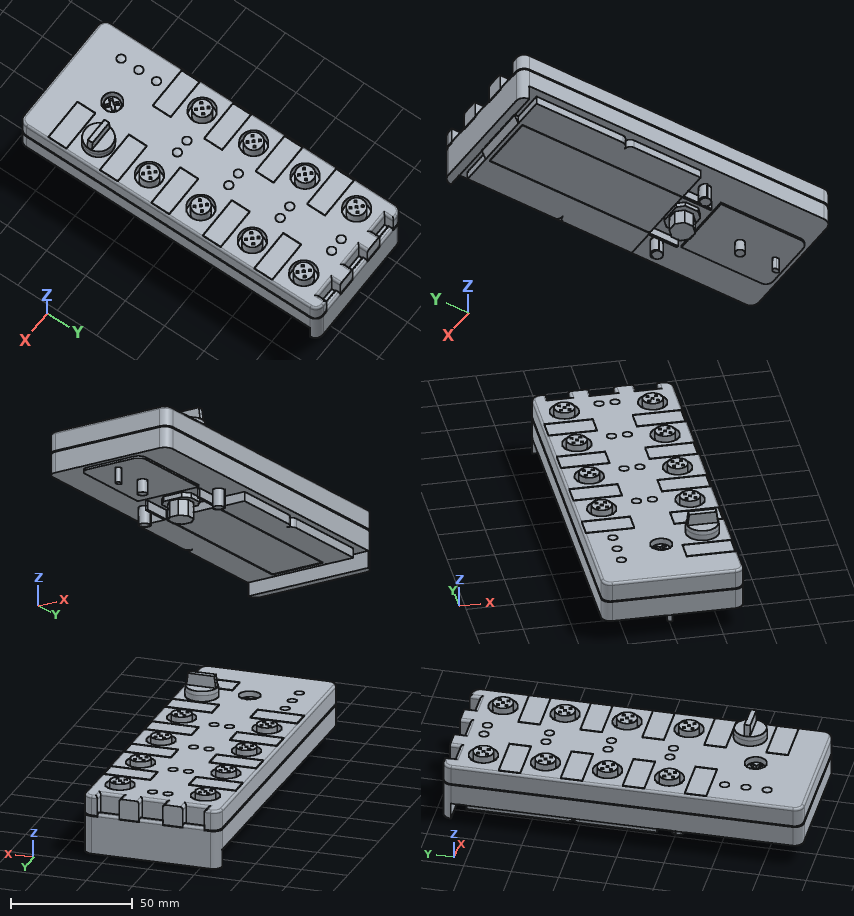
import cadquery as cq
import math

LENGTH = 152.0
WIDTH = 59.6
HEIGHT = 18.4
CORNER_RADIUS = 4.0
RIM_RADIUS = 1.0
SEAM_Z = 9.5
SEAM_HEIGHT = 0.5
SEAM_DEPTH = 0.2
BACK_Y = LENGTH / 2
BACK_WALL_DEPTH = 7.5
BACK_WALL_THICKNESS = CORNER_RADIUS

NOTCH_LENGTH = 5.6
NOTCH_DEPTH = 9.0
NOTCH_EDGE_RADIUS = 1.2
EDGE_PICK_MARGIN = 0.2
NOTCHES = ((-18.5, 11.9), (0, 12.8), (18.5, 11.9))
LIP_WIDTH = 2.5
LIP_HEIGHT = 1.0

COLUMN_X = 18.5
ROW_PITCH = 26.1
FIRST_ROW_Y = 60.8
ROWS = 4
SOCKET_RADIUS = 6.1
SOCKET_DEPTH = 4.9
PLUG_RADIUS = 4.3
PLUG_TOP_Z = 20.2
CONTACT_RADIUS = 0.53
CONTACT_OFFSET = 1.8
CONTACT_DEPTH = 3.0

LABEL_WIDTH = 9.1
LABEL_INNER_X = 8.4
LABEL_HEIGHT = 0.3
LABEL_DROP = 13.2

LIGHT_RADIUS = 2.0
LIGHT_HEIGHT = 0.5
LIGHT_PAIR_X = 3.3
LIGHT_RISE = 3.2
STATUS_LIGHT_Y = -49.9
STATUS_LIGHT_PITCH = 9.0

KNOB_Y = -43.5
KNOB_RADIUS = 7.0
KNOB_BASE_Z = 21.1
KNOB_SHOULDER_RADIUS = 6.7
KNOB_SHOULDER_Z = 22.8
GRIP_TOP_Z = 28.0
GRIP_LENGTH_BOTTOM = 13.0
GRIP_LENGTH_TOP = 11.7
GRIP_THICKNESS = 2.5

SCREW_Y = -49.9
SCREW_HOLE_RADIUS = 4.5
SCREW_HOLE_DEPTH = 6.1
SCREW_HEAD_RADIUS = 3.6
SCREW_HEAD_HEIGHT = 4.0
CROSS_LENGTH = 5.5
CROSS_WIDTH = 1.5
CROSS_ANGLE = -40.0
CROSS_DEPTH = 1.8

RAIL_DEPTH = 4.1
RAIL_REAR_Y = 66.3
RAIL_SPLIT_Y = 21.5
RAIL_FRONT_Y = -14.0
RAIL_OUTER_X = 26.3
RAIL_CORNER_RADIUS = 2.7
CHANNEL_OUTER_X = 13.4
CHANNEL_INNER_X = 12.5
CHANNEL_FRONT_Y = -27.8
WEB_DEPTH = 3.8
WEDGE_LENGTH = 2.0

FOOT_Y = -21.9
FOOT_SIDES = 8
FOOT_WIDTH = 10.0
FOOT_DEPTH = 9.3
FOOT_BASE_WIDTH = 14.6
FOOT_BASE_LENGTH = 11.9
FOOT_BASE_CHAMFER = 2.7
FOOT_BASE_DEPTH = 2.1

PEG_X = 18.4
PEG_Y = -21.5
PEG_RADIUS = 2.5
PEG_DEPTH = 7.8
PEG_BACK_RADIUS = 2.9
PEG_BACK_DEPTH = 7.5
PEG_BACK_OFFSET = 0.8

PLATE_WIDTH = 30.1
PLATE_REAR_Y = -31.2
PLATE_FRONT_Y = -73.7
PLATE_DEPTH = 0.9
PLATE_CORNER_RADIUS = 3.6
ROUND_PIN_Y = -50.2
ROUND_PIN_RADIUS = 2.1
ROUND_PIN_DEPTH = 6.7
OVAL_PIN_Y = -67.6
OVAL_PIN_LENGTH = 3.0
OVAL_PIN_WIDTH = 2.1
OVAL_PIN_DEPTH = 7.5

OVERLAP = 0.8
SIDES = (-1, 1)
ROW_YS = [FIRST_ROW_Y - row * ROW_PITCH for row in range(ROWS)]


def box(x0, x1, y0, y1, z0, z1):
    """Box between two opposite corners."""
    return cq.Workplane("XY").box(x1 - x0, y1 - y0, z1 - z0, centered=False).translate((x0, y0, z0))


def cylinder(x, y, radius, z0, z1):
    """Upright cylinder between two heights."""
    return cq.Workplane("XY").circle(radius).extrude(z1 - z0).translate((x, y, z0))


def housing():
    """Rounded block with a rounded top rim, a seam groove and a deep rear wall."""
    block = (
        cq.Workplane("XY")
        .rect(WIDTH, LENGTH)
        .extrude(HEIGHT + BACK_WALL_DEPTH)
        .translate((0, 0, -BACK_WALL_DEPTH))
        .edges("|Z")
        .fillet(CORNER_RADIUS)
    )
    block = block.faces(">Z").edges().fillet(RIM_RADIUS)
    block = block.cut(
        box(-WIDTH, WIDTH, -LENGTH, BACK_Y - BACK_WALL_THICKNESS, -BACK_WALL_DEPTH, 0)
    )
    seam_outer = cq.Workplane("XY").rect(2 * WIDTH, 2 * LENGTH).extrude(SEAM_HEIGHT)
    seam_core = (
        cq.Workplane("XY")
        .rect(WIDTH - 2 * SEAM_DEPTH, LENGTH - 2 * SEAM_DEPTH)
        .extrude(SEAM_HEIGHT)
        .edges("|Z")
        .fillet(CORNER_RADIUS - SEAM_DEPTH)
    )
    return block.cut(seam_outer.cut(seam_core).translate((0, 0, SEAM_Z - SEAM_HEIGHT / 2)))


def tabs():
    """Square-edged strip that fills the rounded rear rim between the outer notches."""
    half_span = NOTCHES[-1][0]
    return box(
        -half_span, half_span, BACK_Y - NOTCH_LENGTH, BACK_Y, HEIGHT - NOTCH_DEPTH, HEIGHT
    )


def notched_envelope():
    """Square block with three rear notches whose top edges are rounded."""
    envelope = box(-WIDTH, WIDTH, -BACK_Y, BACK_Y, -BACK_WALL_DEPTH, HEIGHT)
    floor_z = HEIGHT - NOTCH_DEPTH
    front_y = BACK_Y - NOTCH_LENGTH + NOTCH_EDGE_RADIUS
    for x, width in NOTCHES:
        half_width = width / 2 - NOTCH_EDGE_RADIUS
        envelope = envelope.cut(
            box(x - half_width, x + half_width, front_y, BACK_Y, floor_z, HEIGHT)
        )
    rounded_edges = cq.selectors.BoxSelector(
        (-WIDTH / 2, front_y - EDGE_PICK_MARGIN, HEIGHT - EDGE_PICK_MARGIN),
        (WIDTH / 2, BACK_Y - EDGE_PICK_MARGIN, HEIGHT + EDGE_PICK_MARGIN),
    )
    return envelope.edges(rounded_edges).fillet(NOTCH_EDGE_RADIUS)


def notch_lip(x, width):
    """Raised lip with a rounded rear edge along the floor of one notch."""
    half_width = width / 2 - NOTCH_EDGE_RADIUS
    floor_z = HEIGHT - NOTCH_DEPTH
    return (
        box(
            x - half_width,
            x + half_width,
            BACK_Y - LIP_WIDTH,
            BACK_Y,
            floor_z - OVERLAP,
            floor_z + LIP_HEIGHT,
        )
        .edges(">Y and >Z")
        .fillet(LIP_HEIGHT)
    )


def socket_plug(x, y):
    """Round plug standing in a socket, with five contact holes."""
    plug = cylinder(x, y, PLUG_RADIUS, HEIGHT - SOCKET_DEPTH - OVERLAP, PLUG_TOP_Z)
    spots = [(sx * CONTACT_OFFSET, sy * CONTACT_OFFSET) for sx in SIDES for sy in SIDES]
    for dx, dy in spots + [(0, 0)]:
        plug = plug.cut(
            cylinder(x + dx, y + dy, CONTACT_RADIUS, PLUG_TOP_Z - CONTACT_DEPTH, PLUG_TOP_Z)
        )
    return plug


def label(side, y):
    """Thin raised field from the top rim towards the middle."""
    x0, x1 = sorted((side * LABEL_INNER_X, side * (WIDTH / 2 - RIM_RADIUS)))
    return box(
        x0, x1, y - LABEL_WIDTH / 2, y + LABEL_WIDTH / 2, HEIGHT - OVERLAP, HEIGHT + LABEL_HEIGHT
    )


def light(x, y):
    """Short round light whose top is a shallow spherical dome."""
    dome_top = HEIGHT + LIGHT_HEIGHT
    sphere_radius = (LIGHT_RADIUS**2 + LIGHT_HEIGHT**2) / (2 * LIGHT_HEIGHT)
    sphere = cq.Workplane("XY").sphere(sphere_radius).translate((x, y, dome_top - sphere_radius))
    return cylinder(x, y, LIGHT_RADIUS, HEIGHT - OVERLAP, dome_top).intersect(sphere)


def knob():
    """Stepped disc with a grip cut from a cone across it."""
    base = cylinder(COLUMN_X, KNOB_Y, KNOB_RADIUS, HEIGHT - OVERLAP, KNOB_BASE_Z)
    shoulder = (
        cq.Workplane("XY", origin=(COLUMN_X, KNOB_Y, KNOB_BASE_Z))
        .circle(KNOB_RADIUS)
        .workplane(offset=KNOB_SHOULDER_Z - KNOB_BASE_Z)
        .circle(KNOB_SHOULDER_RADIUS)
        .loft()
    )
    half_thickness = GRIP_THICKNESS / 2
    grip = (
        cq.Workplane("XY", origin=(COLUMN_X, KNOB_Y, KNOB_SHOULDER_Z))
        .circle(GRIP_LENGTH_BOTTOM / 2)
        .workplane(offset=GRIP_TOP_Z - KNOB_SHOULDER_Z)
        .circle(GRIP_LENGTH_TOP / 2)
        .loft()
        .intersect(
            box(0, WIDTH, KNOB_Y - half_thickness, KNOB_Y + half_thickness, HEIGHT, GRIP_TOP_Z)
        )
    )
    return base.union(shoulder).union(grip)


def screw_head():
    """Cross-slotted head on the floor of the screw hole."""
    floor_z = HEIGHT - SCREW_HOLE_DEPTH
    top_z = floor_z + SCREW_HEAD_HEIGHT
    head = cylinder(0, SCREW_Y, SCREW_HEAD_RADIUS, floor_z - OVERLAP, top_z)
    for angle in (CROSS_ANGLE, CROSS_ANGLE + 90):
        slot = (
            cq.Workplane("XY")
            .rect(CROSS_LENGTH, CROSS_WIDTH)
            .extrude(CROSS_DEPTH)
            .rotate((0, 0, 0), (0, 0, 1), angle)
            .translate((0, SCREW_Y, top_z - CROSS_DEPTH))
        )
        head = head.cut(slot)
    return head


def side_rail():
    """Rail on the +X side, split on its outer face by two rounded corners."""
    cusp_x = RAIL_OUTER_X - RAIL_CORNER_RADIUS
    return (
        cq.Workplane("XY", origin=(0, 0, -RAIL_DEPTH))
        .moveTo(CHANNEL_INNER_X, RAIL_REAR_Y)
        .lineTo(RAIL_OUTER_X, RAIL_REAR_Y)
        .lineTo(RAIL_OUTER_X, RAIL_SPLIT_Y + RAIL_CORNER_RADIUS)
        .radiusArc((cusp_x, RAIL_SPLIT_Y), RAIL_CORNER_RADIUS)
        .radiusArc((RAIL_OUTER_X, RAIL_SPLIT_Y - RAIL_CORNER_RADIUS), RAIL_CORNER_RADIUS)
        .lineTo(RAIL_OUTER_X, RAIL_FRONT_Y)
        .lineTo(CHANNEL_OUTER_X, RAIL_FRONT_Y)
        .lineTo(CHANNEL_OUTER_X, CHANNEL_FRONT_Y)
        .lineTo(CHANNEL_INNER_X, CHANNEL_FRONT_Y)
        .close()
        .extrude(RAIL_DEPTH + OVERLAP)
    )


def rails():
    """Both rails, the web between them and the wedge behind it."""
    right_rail = side_rail()
    web = box(-CHANNEL_INNER_X, CHANNEL_INNER_X, RAIL_FRONT_Y, RAIL_REAR_Y, -WEB_DEPTH, OVERLAP)
    wedge = (
        cq.Workplane("YZ")
        .moveTo(RAIL_REAR_Y, -RAIL_DEPTH)
        .lineTo(RAIL_REAR_Y + WEDGE_LENGTH, 0)
        .lineTo(RAIL_REAR_Y + WEDGE_LENGTH, OVERLAP)
        .lineTo(RAIL_REAR_Y - WEDGE_LENGTH, OVERLAP)
        .lineTo(RAIL_REAR_Y - WEDGE_LENGTH, -RAIL_DEPTH)
        .close()
        .extrude(CHANNEL_INNER_X, both=True)
    )
    return right_rail.union(right_rail.mirror("YZ")).union(web).union(wedge)


def foot():
    """Octagonal foot hanging from a cornered base."""
    corner_radius = FOOT_WIDTH / 2 / math.cos(math.pi / FOOT_SIDES)
    post = (
        cq.Workplane("XY")
        .polygon(FOOT_SIDES, 2 * corner_radius)
        .extrude(FOOT_DEPTH + OVERLAP)
        .rotate((0, 0, 0), (0, 0, 1), 180 / FOOT_SIDES)
        .translate((0, FOOT_Y, -FOOT_DEPTH))
    )
    base = (
        cq.Workplane("XY")
        .rect(FOOT_BASE_WIDTH, FOOT_BASE_LENGTH)
        .extrude(FOOT_BASE_DEPTH + OVERLAP)
        .edges("|Z")
        .chamfer(FOOT_BASE_CHAMFER)
        .translate((0, FOOT_Y, -FOOT_BASE_DEPTH))
    )
    return post.union(base)


def peg(x):
    """Round peg with a slightly larger, shorter rear part."""
    front = cylinder(x, PEG_Y, PEG_RADIUS, -PEG_DEPTH, OVERLAP)
    cut_y = PEG_Y + PEG_BACK_OFFSET
    rear_half = box(
        x - PEG_BACK_RADIUS,
        x + PEG_BACK_RADIUS,
        cut_y,
        PEG_Y + PEG_BACK_RADIUS,
        -PEG_DEPTH,
        OVERLAP,
    )
    back = cylinder(x, PEG_Y, PEG_BACK_RADIUS, -PEG_BACK_DEPTH, OVERLAP).intersect(rear_half)
    return front.union(back)


def pin_plate():
    """Thin underside plate carrying a round pin and an oval pin."""
    half_width = PLATE_WIDTH / 2
    plate = (
        box(-half_width, half_width, PLATE_FRONT_Y, PLATE_REAR_Y, -PLATE_DEPTH, OVERLAP)
        .edges("|Z and <Y")
        .fillet(PLATE_CORNER_RADIUS)
    )
    round_pin = cylinder(0, ROUND_PIN_Y, ROUND_PIN_RADIUS, -ROUND_PIN_DEPTH, OVERLAP)
    oval_pin = (
        cq.Workplane("XY")
        .slot2D(OVAL_PIN_LENGTH, OVAL_PIN_WIDTH, 90)
        .extrude(OVAL_PIN_DEPTH + OVERLAP)
        .translate((0, OVAL_PIN_Y, -OVAL_PIN_DEPTH))
    )
    return plate.union(round_pin).union(oval_pin)


result = housing().union(tabs()).intersect(notched_envelope())
for notch_x, notch_width in NOTCHES:
    result = result.union(notch_lip(notch_x, notch_width))
for row_y in ROW_YS:
    for side in SIDES:
        result = result.cut(
            cylinder(side * COLUMN_X, row_y, SOCKET_RADIUS, HEIGHT - SOCKET_DEPTH, HEIGHT)
        )
result = result.cut(cylinder(0, SCREW_Y, SCREW_HOLE_RADIUS, HEIGHT - SCREW_HOLE_DEPTH, HEIGHT))

for row_y in ROW_YS:
    for side in SIDES:
        result = result.union(socket_plug(side * COLUMN_X, row_y))
        result = result.union(label(side, row_y - LABEL_DROP))
        result = result.union(light(side * LIGHT_PAIR_X, row_y + LIGHT_RISE))
result = result.union(label(1, ROW_YS[-1] - ROW_PITCH - LABEL_DROP))
for step in (-1, 0, 1):
    result = result.union(light(-COLUMN_X, STATUS_LIGHT_Y + step * STATUS_LIGHT_PITCH))
result = result.union(knob()).union(screw_head())

result = result.union(rails()).union(foot()).union(pin_plate())
for side in SIDES:
    result = result.union(peg(side * PEG_X))